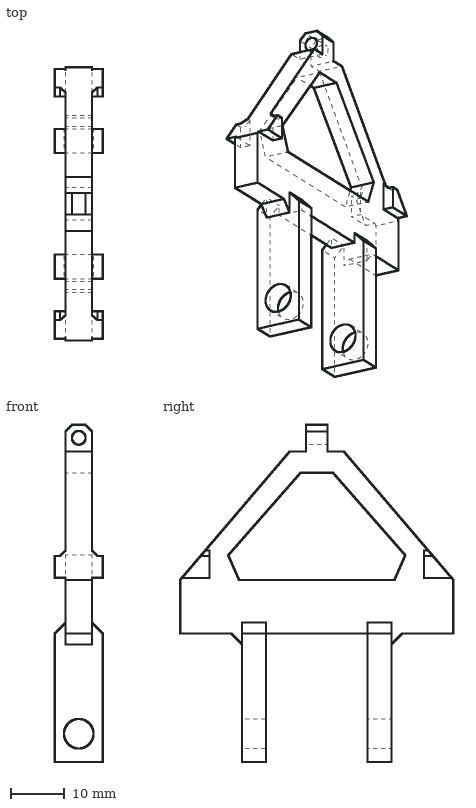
import cadquery as cq

height = 63
wide_x = 9.0
plate_x = 5.0
overhang = (wide_x - plate_x) / 2

bar_half_y = 25.5
bar_bottom = 24.0
bar_top = 34
frame_top = 58.0
frame_top_half_y = 5.05
window_top = 54.0
window_top_half_y = 3.0
window_corner_half_y = 16.5
window_corner_z = 38.6
window_bottom_half_y = 14.5

lug_y = 4.05
lug_chamfer = 1.25
lug_hole_diameter = 2.5
lug_hole_z = 60.55

leg_y = 4.55
leg_outer_y = 14.0
leg_center_y = leg_outer_y - leg_y / 2
leg_hole_diameter = 5.5
leg_hole_z = 5.3
gusset = 2.0

ear_inner_y = 20.05
ear_bottom = 34.4
ear_top = 38.5
ear_ramp = 1.0


def prism_along_x(points, thickness):
    """Extrude a closed YZ outline symmetrically about X = 0."""
    return cq.Workplane("YZ").polyline(points).close().extrude(thickness / 2, both=True)


def prism_along_y(points, length):
    """Extrude a closed XZ outline symmetrically about Y = 0."""
    return cq.Workplane("XZ").polyline(points).close().extrude(length / 2, both=True)


def cylinder_along_y(diameter, z, length):
    return cq.Workplane("XZ").center(0, z).circle(diameter / 2).extrude(length / 2, both=True)


def mirrored(right_half):
    """Complete an outline with its reflection in the vertical axis."""
    return right_half + [(-across, z) for across, z in reversed(right_half)]


def make_outline():
    return prism_along_x(
        mirrored([
            (leg_outer_y, bar_bottom - gusset),
            (leg_outer_y + gusset, bar_bottom),
            (bar_half_y, bar_bottom),
            (bar_half_y, bar_top),
            (frame_top_half_y, frame_top),
        ]),
        wide_x,
    )


def make_plate():
    plate = make_outline().intersect(
        cq.Workplane("XY").box(plate_x, 2 * bar_half_y, height, centered=(True, True, False))
    )
    between_legs = cq.Workplane("XY").box(
        plate_x, 2 * leg_outer_y, bar_bottom, centered=(True, True, False)
    )
    window = prism_along_x(
        mirrored([
            (window_bottom_half_y, bar_top),
            (window_corner_half_y, window_corner_z),
            (window_top_half_y, window_top),
        ]),
        plate_x,
    )
    return plate.cut(between_legs).cut(window)


def make_lug():
    half_x = plate_x / 2
    lug = prism_along_y(
        mirrored([
            (half_x, frame_top),
            (half_x, height - lug_chamfer),
            (half_x - lug_chamfer, height),
        ]),
        lug_y,
    )
    return lug.cut(cylinder_along_y(lug_hole_diameter, lug_hole_z, lug_y))


def make_leg():
    """Leg centred on Y = 0, tapering at 45 degrees into the plate faces."""
    leg = prism_along_y(
        mirrored([
            (wide_x / 2, 0),
            (wide_x / 2, bar_bottom),
            (plate_x / 2, bar_bottom + overhang),
        ]),
        leg_y,
    )
    return leg.cut(cylinder_along_y(leg_hole_diameter, leg_hole_z, leg_y))


def make_ears():
    """Ears trimmed by the sloping sides of the frame, with a ramp up to the plate."""
    half_x = plate_x / 2
    profile = prism_along_y(
        mirrored([
            (wide_x / 2, ear_bottom),
            (wide_x / 2, ear_top),
            (half_x + ear_ramp, ear_top),
            (half_x, ear_top + ear_ramp),
        ]),
        2 * bar_half_y,
    )
    middle = cq.Workplane("XY").box(
        wide_x, 2 * ear_inner_y, height, centered=(True, True, False)
    )
    return profile.intersect(make_outline()).cut(middle)


result = make_plate().union(make_lug()).union(make_ears())
for side in (-1, 1):
    result = result.union(make_leg().translate((0, side * leg_center_y, 0)))